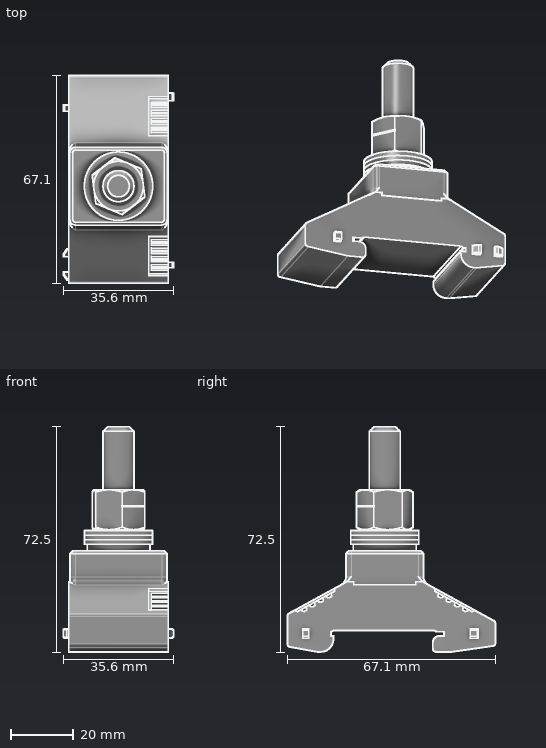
import cadquery as cq
import math

body_width = 32.1
body_half = body_width / 2
back_y = 35.7
front_y = -31.35
ridge_half = 12.25
ridge_z = 22.6
back_eave_z = 9.8
roof_fall = (ridge_z - back_eave_z) / (back_y - ridge_half)
roof_angle = math.degrees(math.atan(roof_fall))
end_radius = 1.0
cut_margin = 0.7

channel_z = 6.9
channel_back_y = 15.95
channel_front_y = -16.5
channel_bevel = 0.8
slot_roof_z = 6.45
slot_floor_z = 5.2
slot_height = slot_roof_z - slot_floor_z
back_slot_y = 19.0
front_slot_y = -17.3
slot_flare = 0.9

back_foot_y = 15.45
back_foot_radius = 2.2
back_toe_radius = 1.1
back_sole_y = 21.55
back_sole_end_z = 2.0
front_foot_y = -16.5
front_foot_radius = 4.2
front_sole_y = -21.6
front_sole_end_z = 1.75

block_x = 31.3
block_y = 25.0
block_top = 32.65
block_corner = 1.7
block_chamfer = 0.95
cove_radius = 3.0
side_notch_length = 20.0
side_notch_z = 21.7

grip_y = 22.55
grip_width = 6.25
grip_length = 14.4
grip_depth = 0.8
grip_draft = 0.3
groove_count = 4
groove_pitch = 3.05
groove_mouth = 1.95
groove_depth = 1.0
groove_bevel = 0.35
groove_width = 5.45

width_over_pegs = 35.6
peg_tip_x = width_over_pegs / 2
peg_reach = peg_tip_x - body_half
peg_bottom_z = 4.5
peg_height = 3.0
peg_chamfer = 0.5
corner_bevel = 0.3
square_pegs = [
    (1, 27.5, 30.0, ">X and >Y"),
    (1, -26.3, -24.45, None),
    (-1, 24.1, 26.25, "|X and >Y"),
]
wedge_peg_length = 2.6
wedge_tip_length = 0.9
wedge_edge = 0.6
wedge_chamfer = 0.3
wedge_pegs = [(-22.8, 1), (-27.65, -1)]

stud_radius = 5.0
stud_top = 72.55
stud_chamfer = 1.5
collar_radius = 10.15
collar_thickness = 2.0
collar_top = block_top + collar_thickness

washer_radius = 11.0
washer_count = 3
washer_stack_height = 4.5
washer_thickness = washer_stack_height / washer_count
washer_cone = 0.05

nut_top = 52.2
nut_flats = 15.95
nut_turn = 7.4
nut_sides = 6
nut_chamfer_angle = 30.0
nut_groove_angles = [nut_turn + 120, nut_turn + 300]
nut_groove_z = 46.95
nut_groove_height = 0.35
nut_groove_depth = 0.15


def roof_z(y):
    """Height of the roof at a distance y from the stud axis."""
    return ridge_z - roof_fall * (abs(y) - ridge_half)


def base_body():
    """Side profile in the YZ plane, extruded over the full width."""
    profile = (
        cq.Workplane("YZ", origin=(-body_half, 0, 0))
        .moveTo(-ridge_half, ridge_z)
        .lineTo(ridge_half, ridge_z)
        .lineTo(back_y, roof_z(back_y))
        .lineTo(back_y, back_sole_end_z)
        .lineTo(back_sole_y, 0)
        .lineTo(back_foot_y + back_toe_radius, 0)
        .radiusArc((back_foot_y, back_toe_radius), back_toe_radius)
        .lineTo(back_foot_y, slot_floor_z - back_foot_radius)
        .radiusArc((back_foot_y + back_foot_radius, slot_floor_z), back_foot_radius)
        .lineTo(back_slot_y, slot_floor_z)
        .lineTo(back_slot_y, slot_roof_z)
        .lineTo(channel_back_y + channel_bevel, slot_roof_z)
        .lineTo(channel_back_y, channel_z)
        .lineTo(channel_front_y, channel_z)
        .lineTo(channel_front_y - channel_bevel, slot_roof_z)
        .lineTo(front_slot_y, slot_floor_z)
        .lineTo(front_foot_y, slot_floor_z)
        .lineTo(front_foot_y, front_foot_radius)
        .radiusArc((front_foot_y - front_foot_radius, 0), front_foot_radius)
        .lineTo(front_sole_y, 0)
        .lineTo(front_y, front_sole_end_z)
        .lineTo(front_y, roof_z(front_y))
        .close()
        .extrude(body_width)
    )
    for end_face in (">Y", "<Y"):
        profile = profile.faces(end_face).edges("|X").fillet(end_radius)
    return profile


def block():
    """Rounded block that rises from inside the body."""
    height = block_top - channel_z - cut_margin
    return (
        cq.Workplane("XY", origin=(0, 0, block_top - height))
        .rect(block_x, block_y)
        .extrude(height)
        .edges("|Z")
        .fillet(block_corner)
        .faces(">Z")
        .edges()
        .chamfer(block_chamfer)
    )


def coves():
    """Hollow fillets that lead both roofs up into the block and turn around its corners."""
    wall_y = block_y / 2
    foot_z = roof_z(wall_y)
    setback = cove_radius * math.tan(math.radians((90 - roof_angle) / 2))
    toe_run = setback * math.cos(math.radians(roof_angle))
    toe_z = roof_z(wall_y + toe_run)
    bottom_z = toe_z - cut_margin
    corner_x = block_x / 2 - block_corner
    corner_y = wall_y - block_corner
    reach = block_corner + toe_run

    def section(plane):
        """Cove section, with local x measured outwards from a corner axis of the block."""
        return (
            cq.Workplane(plane)
            .moveTo(0, bottom_z)
            .lineTo(reach, bottom_z)
            .lineTo(reach, toe_z)
            .radiusArc((block_corner, foot_z + setback), cove_radius)
            .lineTo(0, foot_z + setback)
            .close()
        )

    straight = section("YZ").extrude(corner_x, both=True).translate((0, corner_y, 0))
    turn = section("XZ").revolve(360, (0, 0, 0), (0, 1, 0))
    one_side = straight
    for x in (corner_x, -corner_x):
        one_side = one_side.union(turn.translate((x, corner_y, 0)))
    within_block_width = cq.Workplane("XY").box(block_x, 2 * back_y, 2 * block_top)
    both_sides = one_side.union(one_side.mirror("XZ"))
    return both_sides.intersect(within_block_width)


def side_notches():
    """Cutters that continue the block's side faces a little way into the body."""
    depth = body_half - block_x / 2
    return (
        cq.Workplane("XY", origin=(0, 0, side_notch_z))
        .pushPoints([(side * (block_x / 2 + depth), 0) for side in (1, -1)])
        .rect(2 * depth, side_notch_length)
        .extrude(ridge_z - side_notch_z)
    )


def slot_flares():
    """Cutters that bevel the slot ends open at the -X face."""
    cutters = cq.Workplane("XY", origin=(0, 0, slot_floor_z))
    for slot_y, outward in ((back_slot_y, 1), (front_slot_y, -1)):
        cutters = (
            cutters.moveTo(-body_half, slot_y)
            .lineTo(-body_half, slot_y + outward * slot_flare)
            .lineTo(-body_half + slot_flare, slot_y)
            .close()
        )
    return cutters.extrude(slot_height)


def grip_pocket():
    """Cutter for the grip on the +Y roof: a shallow pocket with deeper cross grooves."""
    down_roof = cq.Vector(0, 1, -roof_fall)
    roof_plane = cq.Plane(origin=(0, grip_y, roof_z(grip_y)), xDir=down_roof, normal=(1, 0, 0))
    half_length = grip_length / 2
    cutter = (
        cq.Workplane(roof_plane)
        .workplane(offset=body_half - grip_width)
        .moveTo(-half_length, 0)
        .lineTo(-half_length, cut_margin)
        .lineTo(half_length, cut_margin)
        .lineTo(half_length, 0)
        .lineTo(half_length - grip_draft, -grip_depth)
        .lineTo(-half_length + grip_draft, -grip_depth)
        .close()
        .extrude(grip_width + cut_margin)
    )
    bottom = -grip_depth - groove_depth
    for index in range(groove_count):
        centre = (index - (groove_count - 1) / 2) * groove_pitch
        upper_lip = centre - groove_mouth / 2
        lower_lip = centre + groove_mouth / 2
        groove = (
            cq.Workplane(roof_plane)
            .workplane(offset=body_half - groove_width)
            .moveTo(upper_lip, -grip_depth)
            .lineTo(upper_lip + grip_draft, bottom)
            .lineTo(lower_lip - grip_draft - groove_bevel, bottom)
            .lineTo(lower_lip - grip_draft, bottom + groove_bevel)
            .lineTo(lower_lip, -grip_depth)
            .close()
            .extrude(groove_width + cut_margin)
        )
        cutter = cutter.union(groove)
    return cutter


def square_peg(side, y_from, y_to, beveled_edges):
    """Block-shaped coding peg with a chamfered tip, on the +X (1) or -X (-1) face."""
    reach = peg_reach + cut_margin
    peg = cq.Workplane("XY").box(reach, y_to - y_from, peg_height, centered=(True, False, False))
    if beveled_edges:
        peg = peg.edges(beveled_edges).chamfer(corner_bevel)
    return (
        peg.faces(">X" if side > 0 else "<X")
        .edges("|Y")
        .chamfer(peg_chamfer)
        .translate((side * (peg_tip_x - reach / 2), y_from, peg_bottom_z))
    )


def wedge_peg(straight_y, direction):
    """Wedge-shaped coding peg on the -X face, thinning out along Y."""
    root_x = -body_half + cut_margin
    edge_x = -body_half - wedge_edge
    thin_y = straight_y + direction * wedge_peg_length
    return (
        cq.Workplane("XY", origin=(0, 0, peg_bottom_z))
        .moveTo(root_x, straight_y)
        .lineTo(-peg_tip_x, straight_y)
        .lineTo(-peg_tip_x, straight_y + direction * wedge_tip_length)
        .lineTo(edge_x, thin_y)
        .lineTo(root_x, thin_y)
        .close()
        .extrude(peg_height)
        .edges("not(|X or |Z or >X)")
        .chamfer(wedge_chamfer)
    )


def stud():
    """Chamfered round stud with a collar that stands on the block."""
    collar = (
        cq.Workplane("XY", origin=(0, 0, block_top))
        .circle(collar_radius)
        .extrude(collar_thickness)
    )
    shank = (
        cq.Workplane("XY", origin=(0, 0, block_top))
        .circle(stud_radius)
        .extrude(stud_top - block_top)
        .faces(">Z")
        .chamfer(stud_chamfer)
    )
    return collar.union(shank)


def make_terminal():
    """Housing and stud as one solid."""
    body = base_body().cut(side_notches()).cut(slot_flares())
    grip = grip_pocket()
    body = body.cut(grip).cut(grip.mirror("XZ"))
    body = body.union(coves()).union(block())
    for square_peg_data in square_pegs:
        body = body.union(square_peg(*square_peg_data))
    for straight_y, direction in wedge_pegs:
        body = body.union(wedge_peg(straight_y, direction))
    return body.union(stud())


def washer_rise(radius):
    """Height of a dished washer at a radius, measured from the collar's rim."""
    return washer_cone * (collar_radius - radius)


def make_washer(index):
    """One dished washer of the stack, resting on the collar's rim or on the washer below."""
    bottom = collar_top + index * washer_thickness
    inner_z = bottom + washer_rise(stud_radius)
    outer_z = bottom + washer_rise(washer_radius)
    return (
        cq.Workplane("XZ")
        .moveTo(stud_radius, inner_z)
        .lineTo(washer_radius, outer_z)
        .lineTo(washer_radius, outer_z + washer_thickness)
        .lineTo(stud_radius, inner_z + washer_thickness)
        .close()
        .revolve(360, (0, 0, 0), (0, 1, 0))
    )


def nut_envelope(bottom):
    """Turned shape that rounds off the corners at both ends of the nut."""
    flat_radius = nut_flats / 2
    corner_radius = flat_radius / math.cos(math.pi / nut_sides) + cut_margin
    drop = (corner_radius - flat_radius) * math.tan(math.radians(nut_chamfer_angle))
    return (
        cq.Workplane("XZ")
        .moveTo(0, bottom)
        .lineTo(flat_radius, bottom)
        .lineTo(corner_radius, bottom + drop)
        .lineTo(corner_radius, nut_top - drop)
        .lineTo(flat_radius, nut_top)
        .lineTo(0, nut_top)
        .close()
        .revolve(360, (0, 0, 0), (0, 1, 0))
    )


def make_nut():
    """Tall hexagon nut with marking grooves in two opposite flats."""
    bottom = collar_top + washer_stack_height + washer_rise(stud_radius)
    hexagon = (
        cq.Workplane("XY", origin=(0, 0, bottom))
        .polygon(nut_sides, nut_flats, circumscribed=True)
        .circle(stud_radius)
        .extrude(nut_top - bottom)
        .rotate((0, 0, 0), (0, 0, 1), nut_turn)
    )
    nut = hexagon.intersect(nut_envelope(bottom))
    for angle in nut_groove_angles:
        groove = (
            cq.Workplane("XY")
            .box(2 * nut_groove_depth, nut_flats, nut_groove_height)
            .translate((nut_flats / 2, 0, nut_groove_z))
            .rotate((0, 0, 0), (0, 0, 1), angle)
        )
        nut = nut.cut(groove)
    return nut


terminal = make_terminal()
washers = [make_washer(index) for index in range(washer_count)]
nut = make_nut()

result = cq.Compound.makeCompound([terminal.val(), *[washer.val() for washer in washers], nut.val()])